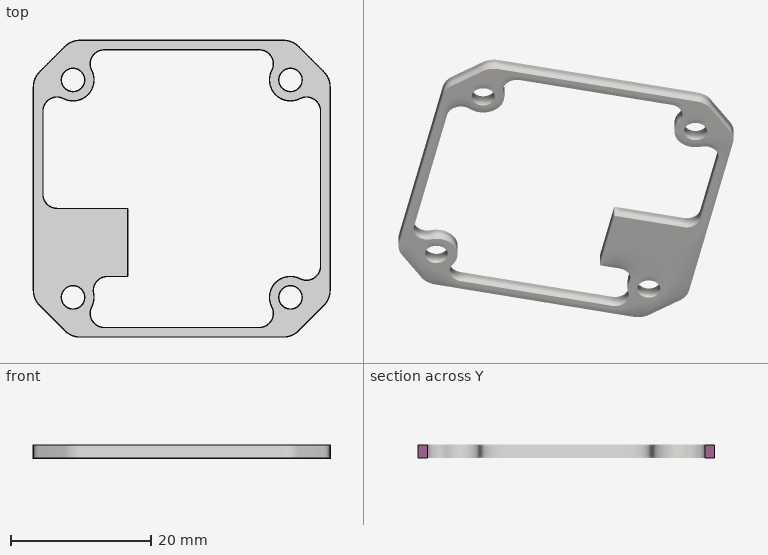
import cadquery as cq
import math

side = 42.3
thickness = 1.95
wall = 1.4
corner_cut = 5.4
outer_radius = 3.0
hole_diameter = 3.3
hole_spacing = 30.98
boss_radius = 3.0
inner_radius = 2.0
tab_tip_x = -7.65
tab_top_y = -2.8
tab_bottom_y = -12.53
tab_tip_radius = 0.2

half_opening = side / 2 - wall
hole_offset = hole_spacing / 2
blend_reach = boss_radius + inner_radius


def prism(points):
    return cq.Workplane("XY").polyline(points).close().extrude(thickness)


def cylinder(x, y, radius):
    return cq.Workplane("XY").center(x, y).circle(radius).extrude(thickness)


def outer_plate():
    """Full square plate with cut, rounded outer corners."""
    plate = cq.Workplane("XY").rect(side, side).extrude(thickness)
    plate = plate.edges("|Z").chamfer(corner_cut)
    return plate.edges("|Z").fillet(outer_radius)


def square_opening():
    return cq.Workplane("XY").rect(2 * half_opening, 2 * half_opening).extrude(thickness)


def corner_boss():
    """Boss of the +X +Y corner, joined to both walls by tangent arcs."""
    near = half_opening - inner_radius
    far = hole_offset - math.sqrt(blend_reach**2 - (near - hole_offset) ** 2)
    web = prism([
        (hole_offset, hole_offset),
        (far, near),
        (far, half_opening),
        (half_opening, half_opening),
        (half_opening, far),
        (near, far),
    ])
    boss = web.union(cylinder(hole_offset, hole_offset, boss_radius))
    for x, y in [(far, near), (near, far)]:
        boss = boss.cut(cylinder(x, y, inner_radius))
    return boss


def tab():
    """Flat tab on the -X wall, with a rounded root and tip."""
    length = tab_tip_x + half_opening
    width = tab_top_y - tab_bottom_y
    plate = cq.Workplane("XY").box(length, width, thickness, centered=False)
    plate = plate.translate((-half_opening, tab_bottom_y, 0))
    plate = plate.edges("|Z and >X").fillet(tab_tip_radius)
    root_x = -half_opening + inner_radius
    root_y = tab_top_y + inner_radius
    root = prism([
        (-half_opening, tab_top_y),
        (root_x, tab_top_y),
        (root_x, root_y),
        (-half_opening, root_y),
    ])
    return plate.union(root.cut(cylinder(root_x, root_y, inner_radius)))


def tab_web():
    """Fill between the tab and its nearest boss, ending in a tangent arc."""
    blend_y = tab_bottom_y - inner_radius
    blend_x = -hole_offset + math.sqrt(blend_reach**2 - (blend_y + hole_offset) ** 2)
    web = prism([
        (-hole_offset, -hole_offset),
        (blend_x, blend_y),
        (blend_x, tab_bottom_y),
        (-half_opening, tab_bottom_y),
        (-half_opening, -hole_offset),
    ])
    return web.cut(cylinder(blend_x, blend_y, inner_radius))


plate = outer_plate()
result = plate.cut(square_opening())
for angle in (0, 90, 180, 270):
    result = result.union(corner_boss().rotate((0, 0, 0), (0, 0, 1), angle))
result = result.union(tab()).union(tab_web())

result = result.intersect(plate)

for x in (-hole_offset, hole_offset):
    for y in (-hole_offset, hole_offset):
        result = result.cut(cylinder(x, y, hole_diameter / 2))
result = result.clean()